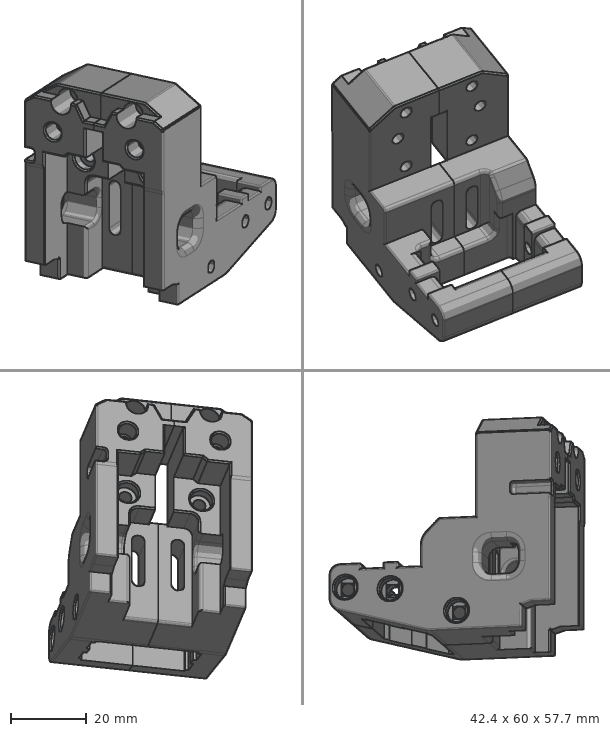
import cadquery as cq
import math

width = 42.4
length = 60.04
height = 57.7
half_width = width / 2
edge = 0.45
rim_radius = 1.1
snap = 0.05
beyond = 5.0

column_back = 20.4
shelf_z = 30.2
slope_low_z = 52.8
slope_top_x = 13.4
slope_edge = 0.25
rail_y = 0.2
rail_bottom_z = 6.75
foot_y = 8.0
foot_top_z = 5.9
foot_slope_y = 5.3
rail_step_top_z = 35.4
rail_step_low_z = 34.4

ledge_z = 17.45
arm_top_z = 18.9
tooth_y = (41.4, 45.4)
rear_block_y = 51.45
shoulder_y = 35.3
shoulder_bevel = 5.0
shoulder_ridge_radius = 1.2
shoulder_radius = 5.0
rear_top_radius = 3.0
rear_low_radius = 3.5
belly_y = 33.45
belly_radius = 7.0
belly_angle = 15.0

opening_x = 14.0
opening_front_y = 33.8
opening_back_y = 52.8
opening_corner = 1.0
relief_x = 14.85
relief_radius = 2.0
channel_x = 9.65
channel_front_y = 28.6
channel_floor_z = 10.0
channel_radius = 2.35
channel_corner = 1.8

step_y = 3.7
step_z = 54.6
notch_top_x = 5.4
notch_low_x = 3.1
notch_z = 50.4
slot_x = 2.5
slot_top_z = 48.5
pocket_x = 15.1
pocket_y = 12.1
pocket_side_z = 38.9
pocket_mid_z = 40.0
pocket_jog_x = (9.0, 7.7)
recess_x = 9.25
recess_top_z = 29.6
recess_corner_radius = 2.35
recess_edge_radius = 1.0
recess_foot_radius = 0.8
tie_slot_x = 5.35
tie_slot_width = 3.5
tie_slot_z = (10.4, 25.9)

window_y = (9.1, 19.2)
window_z = (14.8, 23.65)
window_radius = 3.0
window_flare = 2.1

groove_x = 18.3
groove_z = (35.7, 39.25)
groove_y = 11.1
groove_radius = 1.0
groove_end_radius = 1.1

screw_d = 3.4
head_d = 6.0
insert_d = 4.75
top_screw = (10.0, 54.0)
top_head_depth = 10.0
insert_place = (12.5, 45.5)
insert_depth = 6.0
pocket_screw = (10.0, 33.95)
pocket_head_depth = 3.0
side_screws = ((55.65, 12.5), (43.5, 11.6), (25.5, 5.0))
side_head_depth = 3.0
bridge_step = 0.3


def box(x, y, z):
    """A box spanning the given (low, high) pairs."""
    size = [high - low for low, high in (x, y, z)]
    return cq.Workplane("XY").box(*size, centered=False).translate((x[0], y[0], z[0]))


def facing_back(y):
    """A work plane at depth y, looking toward +Y; used for outlines symmetric in X."""
    return cq.Workplane(cq.Plane(origin=(0, y, 0), xDir=(-1, 0, 0), normal=(0, 1, 0)))


def symmetric_outline(y, right_points):
    """A closed outline from its right-hand points (X, Z), mirrored in X."""
    left_points = [(-x, z) for x, z in reversed(right_points)]
    return facing_back(y).polyline(right_points + left_points).close()


def flare(y, right_points):
    """A 45 degree mouth for a pocket with this outline, cut from depth y."""
    mouth = symmetric_outline(y, right_points).offset2D(edge, "intersection")
    return mouth.extrude(edge, taper=45)


def flared_mouth(cutter, y):
    """A 45 degree mouth at depth y around the front end of a straight cutter."""
    front_end = cutter.faces("<Y").val()
    outline = front_end.outerWire().translate(cq.Vector(0, y - front_end.Center().y, 0))
    return facing_back(y).add(outline).toPending().offset2D(edge).extrude(edge, taper=45)


def rod(center, direction, diameter, depth):
    """A round bar starting at center."""
    return cq.Workplane(cq.Solid.makeCylinder(diameter / 2, depth, cq.Vector(*center), cq.Vector(*direction)))


def countersink(center, direction, diameter):
    """A 45 degree mouth for a round hole."""
    return cq.Workplane(
        cq.Solid.makeCone(diameter / 2 + edge, diameter / 2, edge, cq.Vector(*center), cq.Vector(*direction))
    )


def edges_within(x, y, z):
    """Select edges whose middle lies within these (low, high) pairs, or just at their limits."""
    low = [pair[0] - snap for pair in (x, y, z)]
    high = [pair[1] + snap for pair in (x, y, z)]
    return cq.selectors.BoxSelector(low, high)


def near(y, z):
    """Select edges whose middle is at this (Y, Z), at any X."""
    return edges_within((-width, width), (y, y), (z, z))


def round_corner(body, y, z, radius):
    """Round the edge that runs across the part at this (Y, Z)."""
    return body.edges("|X").edges(near(y, z)).fillet(radius)


def side_plate(side):
    """One half as a plain extrusion of its side outline, with rounded outer edges."""
    slant_rear_z = (length - belly_y) * math.tan(math.radians(belly_angle))
    shoulder_top_y = shoulder_y - shoulder_bevel
    shoulder_low_z = shelf_z - shoulder_bevel
    if side < 0:
        shoulder = [(shoulder_top_y, shelf_z), (shoulder_y, shoulder_low_z), (shoulder_y, ledge_z)]
    else:
        shoulder = [(channel_front_y, shelf_z), (channel_front_y, ledge_z)]
    points = [
        (foot_y, 0),
        (foot_y, foot_top_z),
        (foot_slope_y, rail_bottom_z),
        (rail_y, rail_bottom_z),
        (rail_y, rail_step_low_z),
        (0, rail_step_top_z),
        (0, height),
        (column_back, height),
        (column_back, shelf_z),
        *shoulder,
        (tooth_y[0], ledge_z),
        (tooth_y[0], arm_top_z),
        (tooth_y[1], arm_top_z),
        (tooth_y[1], ledge_z),
        (rear_block_y, ledge_z),
        (rear_block_y, arm_top_z),
        (length, arm_top_z),
        (length, slant_rear_z),
        (belly_y, 0),
    ]
    plate = cq.Workplane("YZ").polyline(points).close().extrude(side * half_width)
    plate = round_corner(plate, length, arm_top_z, rear_top_radius)
    plate = round_corner(plate, length, slant_rear_z, rear_low_radius)
    plate = round_corner(plate, belly_y, 0, belly_radius)
    if side < 0:
        plate = round_corner(plate, shoulder_y, shoulder_low_z, shoulder_radius)
        plate = round_corner(plate, shoulder_top_y, shelf_z, shoulder_ridge_radius)
    else:
        plate = round_corner(plate, channel_front_y, shelf_z, rim_radius)
    plate = round_corner(plate, rail_y, rail_bottom_z, edge)
    plate = round_corner(plate, foot_y, 0, edge)
    for y in (*tooth_y, rear_block_y):
        plate = round_corner(plate, y, arm_top_z, edge)
    return plate.faces(">X" if side > 0 else "<X").edges().fillet(edge)


def roof_points():
    """Right-hand outline of the sloped roof with bevelled ridges, reaching past the sides."""
    run = half_width - slope_top_x
    drop = height - slope_low_z
    slope_length = math.hypot(run, drop)
    bevel_x = slope_edge * run / slope_length
    bevel_z = slope_edge * drop / slope_length
    outer_x = half_width + beyond * bevel_x
    outer_z = slope_low_z - slope_edge - beyond * (slope_edge + bevel_z)
    return [
        (outer_x, -beyond),
        (outer_x, outer_z),
        (half_width - bevel_x, slope_low_z + bevel_z),
        (slope_top_x + bevel_x, height - bevel_z),
        (slope_top_x - slope_edge, height),
    ]


def roof_bevel(low_z):
    """What bevels the roof at a rear end lying at Y = 0, above low_z."""
    block = box((-width, width), (-edge, 0), (low_z, height + beyond))
    return block.cut(symmetric_outline(-edge, roof_points()).extrude(edge, taper=45))


def roofed(body):
    """Slope the column roof and bevel its rear edge."""
    roof = symmetric_outline(-beyond, roof_points()).extrude(length + 2 * beyond)
    rear_bevel = roof_bevel(slope_low_z - beyond).translate((0, column_back, 0))
    return body.intersect(roof).cut(rear_bevel)


def stepped(body):
    """Cut the step and V notch at the top front, and bevel the edges around them."""
    outline = [
        (notch_low_x, notch_z),
        (notch_top_x, step_z),
        (width, step_z),
        (width, height + beyond),
    ]
    body = body.cut(symmetric_outline(-beyond, outline).extrude(beyond + step_y))
    body = body.cut(roof_bevel(step_z).mirror("XZ").translate((0, step_y, 0)))
    body = body.cut(roof_bevel(slope_low_z - beyond).mirror("XZ"))
    return body.cut(flare(0, outline))


def recess():
    """The deep recess in the middle, reaching back to the wall with the tie slots."""
    body = box((-recess_x, recess_x), (-beyond, column_back), (-beyond, recess_top_z))
    return body.edges("|Y").edges(">Z").fillet(recess_corner_radius)


def front_pockets():
    """The pocket in the front face, the upright slot, the tie slots and the pocket mouths."""
    pocket = [
        (pocket_x, -beyond),
        (pocket_x, pocket_side_z),
        (pocket_jog_x[0], pocket_side_z),
        (pocket_jog_x[1], pocket_mid_z),
    ]
    cutter = symmetric_outline(-beyond, pocket).extrude(beyond + pocket_y)
    cutter = cutter.union(flare(0, pocket))
    cutter = cutter.union(flare(foot_y, [(pocket_x, -beyond), (pocket_x, foot_top_z)]))
    slot = box((-slot_x, slot_x), (-beyond, column_back), (recess_top_z, slot_top_z))
    slot_mouth = flare(0, [(slot_x, shelf_z), (slot_x, slot_top_z - edge)])
    recess_mouth = flared_mouth(recess(), pocket_y)
    recess_mouth = recess_mouth.intersect(box((-width, width), (0, length), (window_z[1], height)))
    for part in (slot, slot_mouth, recess_mouth):
        cutter = cutter.union(part)
    for x in (-tie_slot_x, tie_slot_x):
        tie_slot = (
            facing_back(column_back)
            .center(-x, sum(tie_slot_z) / 2)
            .slot2D(tie_slot_z[1] - tie_slot_z[0], tie_slot_width, 90)
            .extrude(opening_front_y - column_back)
        )
        cutter = cutter.union(tie_slot)
    return cutter


def cable_window():
    """The rounded window running across the whole width."""
    return box((-width, width), window_y, window_z).edges("|X").fillet(window_radius)


def round_window_edges(body, side):
    """Round the window where it opens into the outer side and into the recess."""
    for x, radius in ((half_width, window_flare), (recess_x, recess_edge_radius)):
        loop = edges_within((side * x, side * x), window_y, window_z)
        body = body.edges(loop).fillet(radius)
    return body


def recess_lip(side):
    """What rounds the upright edge between the pocket floor and the recess, below the window."""
    x_span = sorted((side * recess_x, side * (recess_x + recess_edge_radius)))
    y_span = (pocket_y, pocket_y + recess_edge_radius)
    corner = box(x_span, y_span, (-beyond, window_z[0]))
    axis = (side * (recess_x + recess_edge_radius), y_span[1], -beyond)
    return corner.cut(rod(axis, (0, 0, 1), 2 * recess_edge_radius, height))


def round_pocket_feet(body):
    """Round the lower front edges of the pocket floor and of the recess wall."""
    body = round_corner(body, pocket_y, 0, edge)
    return round_corner(body, column_back, 0, recess_foot_radius)


def fan_opening():
    """The opening between shelf and rear block, with side reliefs between the teeth."""
    low = box((-opening_x, opening_x), (opening_front_y, opening_back_y), (-beyond, ledge_z))
    low = low.edges("|Z").edges("<Y").fillet(opening_corner)
    high = box((-opening_x, opening_x), (shoulder_y, opening_back_y), (0, height))
    opening = low.union(high)
    crown_x = relief_x + relief_radius
    crown_z = ledge_z - relief_radius
    for y in ((shoulder_y, tooth_y[0]), (tooth_y[1], rear_block_y)):
        opening = opening.union(box((-relief_x, relief_x), y, (-beyond, ledge_z)))
        crown = box((-crown_x, crown_x), y, (crown_z, ledge_z))
        for side in (-1, 1):
            crown = crown.cut(rod((side * crown_x, y[0], crown_z), (0, 1, 0), 2 * relief_radius, y[1] - y[0]))
        opening = opening.union(crown)
    return opening


def channel():
    """The round-bottomed channel behind the shelf; its left upright corner is rounded as well."""
    body = box((-channel_x, channel_x), (channel_front_y, shoulder_y + beyond), (channel_floor_z, height))
    body = body.edges("|Y").edges("<Z").fillet(channel_radius)
    corner_x = channel_corner - channel_x
    corner_y = channel_front_y + channel_corner
    corner = box((-channel_x, corner_x), (channel_front_y, corner_y), (0, height))
    round_end = rod((corner_x, corner_y, 0), (0, 0, 1), 2 * channel_corner, height)
    return body.cut(corner.cut(round_end))


def round_shoulder_rim(body):
    """Round the rim of the left half along the shelf, around the corner and down the shoulder."""
    corner_end_y = channel_front_y + channel_corner
    shelf_rim = edges_within((-channel_x, 0), (channel_front_y, corner_end_y), (shelf_z - 0.2, shelf_z))
    shoulder_rim = edges_within((-channel_x, -channel_x), (corner_end_y + 0.2, shoulder_y), (ledge_z, shelf_z))
    return body.edges(shelf_rim + shoulder_rim).fillet(rim_radius)


def round_opening_rims(body, side):
    """Round the upper rims of the fan opening, in front and at the rear block."""
    body = round_corner(body, opening_back_y, arm_top_z, rim_radius)
    if side < 0:
        return round_corner(body, opening_front_y, channel_floor_z, rim_radius)
    channel_rim = edges_within((0, channel_x), (opening_front_y, opening_front_y), (channel_floor_z, ledge_z))
    ledge_rim = edges_within((channel_x, opening_x), (opening_front_y, shoulder_y - edge), (ledge_z, ledge_z))
    return body.edges(channel_rim + ledge_rim).fillet(rim_radius)


def screw_holes():
    """All screw holes with their head recesses and insert seats."""
    holes = []
    across = (1, 0, 0)
    inward = (0, 1, 0)
    for sign in (-1, 1):
        x, z = sign * top_screw[0], top_screw[1]
        holes.append(rod((x, 0, z), inward, screw_d, column_back))
        holes.append(rod((x, 0, z), inward, head_d, top_head_depth))
        x, z = sign * insert_place[0], insert_place[1]
        holes.append(rod((x, 0, z), inward, screw_d, column_back))
        holes.append(rod((x, 0, z), inward, insert_d, insert_depth))
        holes.append(countersink((x, 0, z), inward, insert_d))
        x, z = sign * pocket_screw[0], pocket_screw[1]
        holes.append(rod((x, 0, z), inward, screw_d, column_back))
        holes.append(rod((x, pocket_y, z), inward, head_d, pocket_head_depth))
        holes.append(countersink((x, pocket_y, z), inward, head_d))
    seat = -half_width + side_head_depth
    for y, z in side_screws:
        holes.append(rod((-half_width, y, z), across, screw_d, width))
        holes.append(rod((-half_width, y, z), across, head_d, side_head_depth))
        holes.append(countersink((-half_width, y, z), across, head_d))
        y_span = (y - screw_d / 2, y + screw_d / 2)
        z_span = (z - screw_d / 2, z + screw_d / 2)
        head = rod((seat, y, z), across, head_d, bridge_step)
        holes.append(head.intersect(box((-width, width), y_span, (-width, width))))
        holes.append(box((seat, seat + 2 * bridge_step), y_span, z_span))
    return holes


def cable_groove():
    """The groove in the left side, open to the front."""
    groove = box((-width, -groove_x), (-beyond, groove_y), groove_z)
    groove = groove.edges("|X").edges(">Y").fillet(groove_end_radius)
    groove = groove.faces(">X").edges("not <Y").fillet(groove_radius)
    return groove.union(flared_mouth(groove, 0))


def half(side):
    """One half of the carriage: side -1 is the left half, side +1 the right half."""
    body = side_plate(side)
    body = roofed(body)
    body = stepped(body)
    body = body.cut(channel())
    body = body.cut(fan_opening())
    if side < 0:
        body = round_shoulder_rim(body)
    body = round_opening_rims(body, side)
    body = body.cut(recess())
    body = body.cut(cable_window())
    body = round_window_edges(body, side)
    body = body.cut(front_pockets())
    body = round_pocket_feet(body)
    body = body.cut(recess_lip(side))
    for hole in screw_holes():
        body = body.cut(hole)
    if side < 0:
        body = body.cut(cable_groove())
    return body


left_half = half(-1)
right_half = half(1)
result = cq.Compound.makeCompound([left_half.val(), right_half.val()])